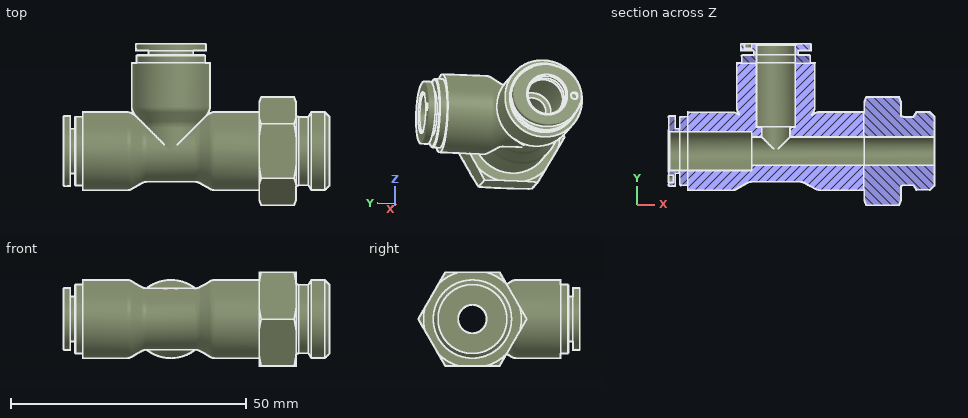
import cadquery as cq
import math


PORT_REACH = 22.85
SLEEVE_FLANGE_THICKNESS = 1.5
SLEEVE_NECK_LENGTH = 0.9
GUIDE_LENGTH = 1.7
GUIDE_FACE = PORT_REACH - SLEEVE_FLANGE_THICKNESS - SLEEVE_NECK_LENGTH
BODY_FACE = GUIDE_FACE - GUIDE_LENGTH

SLEEVE_LONG_DIAMETER = 14.95
SLEEVE_SHORT_DIAMETER = 13.25
SLEEVE_NECK_DIAMETER = 9.6
SLEEVE_EDGE_RADIUS = 0.25
TUBE_BORE_DIAMETER = 8.2
TUBE_ENTRY_CHAMFER = 0.3
DOT_DIAMETER = 1.5
DOT_OFFSET = 5.9
DOT_DEPTH = 1.0

GUIDE_DIAMETER = 14.7
GUIDE_CHAMFER = 0.2

BODY_RADIUS = 16.7 / 2
WAIST_RADIUS = 13.1 / 2
WAIST_HALF_LENGTH = 5.15
BLEND_RADIUS = 2.0
BLEND_ANGLE = math.radians(30)
FLOW_BORE_DIAMETER = 6.0
TUBE_STOP = WAIST_HALF_LENGTH

HEX_START = 18.75
HEX_LENGTH = 7.9
HEX_ACROSS_FLATS = 20.0
HEX_ACROSS_CORNERS = HEX_ACROSS_FLATS / math.cos(math.radians(30))
HEX_FACE_RADIUS = 10.4
HEX_CHAMFER_ANGLE = math.radians(22)
THREAD_RADIUS = 16.66 / 2
RELIEF_RADIUS = 14.6 / 2
RELIEF_FLARE = 0.2
RELIEF_FLARE_LENGTH = 0.5
RELIEF_END = 29.25
THREAD_START = 29.85
STUD_END = 33.75
THREAD_END_CHAMFER = 1.0

LEFT_PORT = cq.Plane(origin=(0, 0, 0), xDir=(0, 1, 0), normal=(-1, 0, 0))
RUN_AXIS = cq.Plane.YZ()


def along_axis(plane, start):
    """Workplane square to the plane's normal, `start` away from the tee centre."""
    return cq.Workplane(plane).workplane(offset=start)


def turned_to_branch(left_part):
    """Copy of a left-port part, turned about Z onto the branch port."""
    return left_part.rotate((0, 0, 0), (0, 0, 1), -90)


def make_sleeve():
    """Oval-flanged release sleeve of the left port."""
    flange = (
        along_axis(LEFT_PORT, PORT_REACH - SLEEVE_FLANGE_THICKNESS)
        .ellipse(SLEEVE_LONG_DIAMETER / 2, SLEEVE_SHORT_DIAMETER / 2)
        .extrude(SLEEVE_FLANGE_THICKNESS)
        .faces("<X")
        .edges()
        .fillet(SLEEVE_EDGE_RADIUS)
    )
    neck = (
        along_axis(LEFT_PORT, GUIDE_FACE)
        .circle(SLEEVE_NECK_DIAMETER / 2)
        .extrude(SLEEVE_NECK_LENGTH)
    )
    bore = (
        along_axis(LEFT_PORT, GUIDE_FACE)
        .circle(TUBE_BORE_DIAMETER / 2)
        .extrude(PORT_REACH - GUIDE_FACE)
    )
    sleeve = flange.union(neck).cut(bore)
    sleeve = sleeve.faces("<X").edges("%CIRCLE").chamfer(TUBE_ENTRY_CHAMFER)
    dot = (
        along_axis(LEFT_PORT, PORT_REACH - DOT_DEPTH)
        .center(-DOT_OFFSET, 0)
        .circle(DOT_DIAMETER / 2)
        .extrude(DOT_DEPTH)
    )
    return sleeve.cut(dot)


def make_guide():
    """Ring of the left port between its sleeve and the tee body."""
    return (
        along_axis(LEFT_PORT, BODY_FACE)
        .circle(GUIDE_DIAMETER / 2)
        .extrude(GUIDE_LENGTH)
        .faces("<X")
        .edges()
        .chamfer(GUIDE_CHAMFER)
        .cut(along_axis(LEFT_PORT, BODY_FACE).circle(TUBE_BORE_DIAMETER / 2).extrude(GUIDE_LENGTH))
    )


def make_arm(length):
    """Arm along +X: waist, concave blend, cone, convex blend and socket barrel."""
    blend_length = BLEND_RADIUS * math.sin(BLEND_ANGLE)
    blend_rise = BLEND_RADIUS * (1 - math.cos(BLEND_ANGLE))
    mid_length = BLEND_RADIUS * math.sin(BLEND_ANGLE / 2)
    mid_rise = BLEND_RADIUS * (1 - math.cos(BLEND_ANGLE / 2))
    cone_rise = BODY_RADIUS - WAIST_RADIUS - 2 * blend_rise
    cone_start = WAIST_HALF_LENGTH + blend_length
    cone_end = cone_start + cone_rise / math.tan(BLEND_ANGLE)
    barrel_start = cone_end + blend_length
    return (
        cq.Workplane("XY")
        .moveTo(0, 0)
        .lineTo(0, WAIST_RADIUS)
        .lineTo(WAIST_HALF_LENGTH, WAIST_RADIUS)
        .threePointArc(
            (WAIST_HALF_LENGTH + mid_length, WAIST_RADIUS + mid_rise),
            (cone_start, WAIST_RADIUS + blend_rise),
        )
        .lineTo(cone_end, BODY_RADIUS - blend_rise)
        .threePointArc(
            (barrel_start - mid_length, BODY_RADIUS - mid_rise),
            (barrel_start, BODY_RADIUS),
        )
        .lineTo(length, BODY_RADIUS)
        .lineTo(length, 0)
        .close()
        .revolve(360, (0, 0, 0), (1, 0, 0))
    )


def make_body():
    """Tee body with stepped tube sockets and a flow bore through the run and branch."""
    left_arm = make_arm(BODY_FACE).rotate((0, 0, 0), (0, 0, 1), 180)
    body = make_arm(HEX_START).union(left_arm).union(turned_to_branch(left_arm))

    socket = (
        along_axis(LEFT_PORT, TUBE_STOP)
        .circle(TUBE_BORE_DIAMETER / 2)
        .extrude(BODY_FACE - TUBE_STOP)
    )
    flow_bore = cq.Workplane(LEFT_PORT).circle(FLOW_BORE_DIAMETER / 2).extrude(TUBE_STOP)
    run_bore = cq.Workplane(RUN_AXIS).circle(FLOW_BORE_DIAMETER / 2).extrude(HEX_START)
    for bore in (socket, flow_bore):
        body = body.cut(bore).cut(turned_to_branch(bore))
    return body.cut(run_bore)


def make_hexagon():
    """Hexagon with corners on Y and its corners chamfered at both ends."""
    hexagon = along_axis(RUN_AXIS, HEX_START).polygon(6, HEX_ACROSS_CORNERS).extrude(HEX_LENGTH)
    corner_radius = HEX_ACROSS_CORNERS / 2
    chamfer_length = (corner_radius - HEX_FACE_RADIUS) * math.tan(HEX_CHAMFER_ANGLE)
    hex_end = HEX_START + HEX_LENGTH
    envelope = (
        cq.Workplane("XY")
        .polyline(
            [
                (HEX_START, 0),
                (HEX_START, HEX_FACE_RADIUS),
                (HEX_START + chamfer_length, corner_radius),
                (hex_end - chamfer_length, corner_radius),
                (hex_end, HEX_FACE_RADIUS),
                (hex_end, 0),
            ]
        )
        .close()
        .revolve(360, (0, 0, 0), (1, 0, 0))
    )
    return hexagon.intersect(envelope)


def make_stud():
    """Hexagon, flared relief groove and plain thread cylinder around the flow bore."""
    hex_end = HEX_START + HEX_LENGTH
    shank = (
        cq.Workplane("XY")
        .polyline(
            [
                (hex_end, 0),
                (hex_end, RELIEF_RADIUS + RELIEF_FLARE),
                (hex_end + RELIEF_FLARE_LENGTH, RELIEF_RADIUS),
                (RELIEF_END, RELIEF_RADIUS),
                (THREAD_START, THREAD_RADIUS),
                (STUD_END - THREAD_END_CHAMFER, THREAD_RADIUS),
                (STUD_END, THREAD_RADIUS - THREAD_END_CHAMFER),
                (STUD_END, 0),
            ]
        )
        .close()
        .revolve(360, (0, 0, 0), (1, 0, 0))
    )
    bore = (
        along_axis(RUN_AXIS, HEX_START)
        .circle(FLOW_BORE_DIAMETER / 2)
        .extrude(STUD_END - HEX_START)
    )
    return make_hexagon().union(shank).cut(bore)


body = make_body()
stud = make_stud()
port_parts = []
for left_part in (make_sleeve(), make_guide()):
    port_parts.append(left_part.val())
    port_parts.append(turned_to_branch(left_part).val())

result = cq.Compound.makeCompound([body.val(), stud.val(), *port_parts])